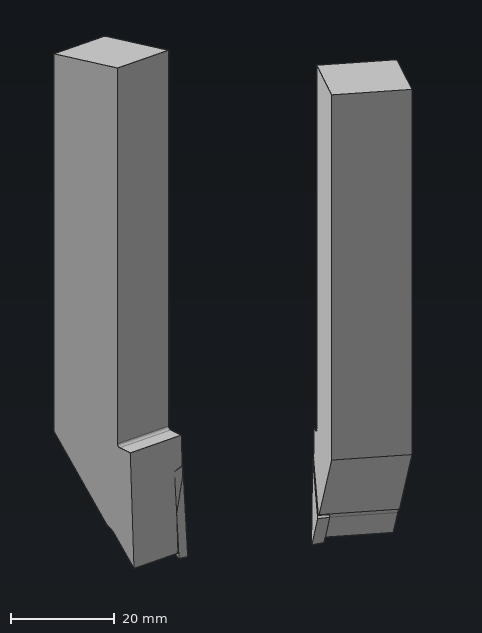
import cadquery as cq
import math

SHANK_WIDTH = 15.8
SHANK_DEPTH = SHANK_WIDTH
TOTAL_HEIGHT = 101.4

SLOPE_TOP_Z = 25.4
SLOPE_END = (13.2, 8.9)
RELIEF_END = (15.0, 7.5)
RELIEF_RADIUS = 5.1
HEAD_TIP = (19.9, 1.4)
LEDGE_OUTER = (19.0, 24.5)
LEDGE_INNER_Z = 25.2
LEDGE_FILLET = 0.7

INSERT_THICKNESS = 2.4
INSERT_PROJECTION = 0.2
CLEARANCE_ANGLE = 5.0
INSERT_HEEL = (13.7, 7.9)
INSERT_TOP = (19.2, 18.4)
NOSE_OUTER = (20.4, 0.3)
NOSE_LOWER = (19.9, 0.0)


def relief_midpoint():
    """Middle of the concave relief arc, bowed into the head."""
    dx = RELIEF_END[0] - SLOPE_END[0]
    dz = RELIEF_END[1] - SLOPE_END[1]
    chord = math.hypot(dx, dz)
    sagitta = RELIEF_RADIUS - math.sqrt(RELIEF_RADIUS**2 - (chord / 2)**2)
    mid_x = (SLOPE_END[0] + RELIEF_END[0]) / 2
    mid_z = (SLOPE_END[1] + RELIEF_END[1]) / 2
    return (mid_x - dz / chord * sagitta, mid_z + dx / chord * sagitta)


def make_insert():
    """Pointed insert, tapering from its rake face down to its seat."""
    rake_face_y = SHANK_DEPTH + INSERT_PROJECTION
    return (
        cq.Workplane("XZ", origin=(0, rake_face_y, 0))
        .polyline([INSERT_HEEL, NOSE_LOWER, NOSE_OUTER, INSERT_TOP])
        .close()
        .extrude(INSERT_THICKNESS, taper=CLEARANCE_ANGLE)
    )


def make_holder(insert):
    """Shank and angled head in one piece, with a seat matching the insert."""
    blank = (
        cq.Workplane("XZ", origin=(0, SHANK_DEPTH, 0))
        .moveTo(0, TOTAL_HEIGHT)
        .lineTo(0, SLOPE_TOP_Z)
        .lineTo(*SLOPE_END)
        .threePointArc(relief_midpoint(), RELIEF_END)
        .lineTo(*HEAD_TIP)
        .lineTo(*LEDGE_OUTER)
        .lineTo(SHANK_WIDTH, LEDGE_INNER_Z)
        .lineTo(SHANK_WIDTH, TOTAL_HEIGHT)
        .close()
        .extrude(SHANK_DEPTH)
    )
    ledge_corner = cq.selectors.NearestToPointSelector((SHANK_WIDTH, SHANK_DEPTH / 2, LEDGE_INNER_Z))
    return blank.edges(ledge_corner).fillet(LEDGE_FILLET).cut(insert).solids()


insert = make_insert()
holder = make_holder(insert)

result = cq.Compound.makeCompound([holder.val(), insert.val()])